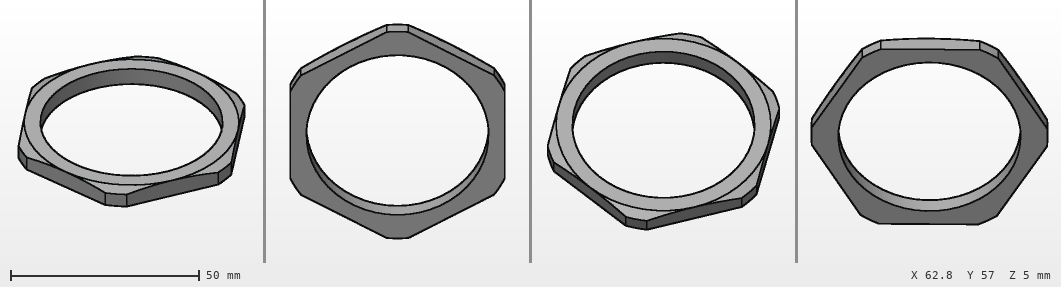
import cadquery as cq
import math

across_flats = 57.0
corner_diameter = 62.8
bore_diameter = 48.4
thickness = 5.0
chamfer_angle = 20.0

flat_radius = across_flats / 2
corner_radius = corner_diameter / 2
chamfer_drop = (corner_radius - flat_radius) * math.tan(math.radians(chamfer_angle))


def hexagon_prism():
    """Hexagon with two flats facing +Y and -Y."""
    across_corners = across_flats / math.cos(math.radians(30))
    return cq.Workplane("XY").polygon(6, across_corners).extrude(thickness)


def turned_blank():
    """Ring whose outside rounds the corners and chamfers the top, touching the flats."""
    bore_radius = bore_diameter / 2
    profile = [
        (bore_radius, 0),
        (corner_radius, 0),
        (corner_radius, thickness - chamfer_drop),
        (flat_radius, thickness),
        (bore_radius, thickness),
    ]
    return cq.Workplane("XZ").polyline(profile).close().revolve(360, (0, 0), (0, 1))


result = hexagon_prism().intersect(turned_blank())